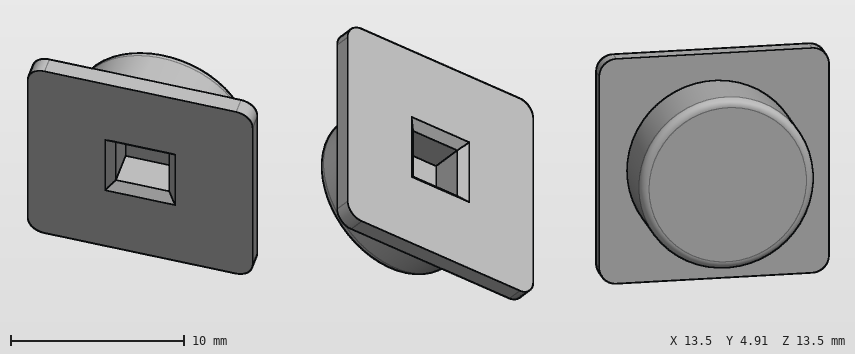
import cadquery as cq

plate_side = 13.5
plate_thickness = 1.0
plate_corner_radius = 1.0

overall_depth = 4.91
boss_diameter = 10.25
boss_height = overall_depth - plate_thickness
boss_edge_radius = 0.5

pocket_side = 3.2
pocket_depth = 2.5
mouth_chamfer = 0.5


def plane_at(depth):
    """XZ plane at the given Y, with its normal pointing along +Y."""
    return cq.Plane(origin=(0, depth, 0), xDir=(1, 0, 0), normal=(0, 1, 0))


def make_plate():
    plate = cq.Workplane(plane_at(0)).rect(plate_side, plate_side).extrude(plate_thickness)
    return plate.edges("|Y").fillet(plate_corner_radius)


def make_boss():
    boss = cq.Workplane(plane_at(plate_thickness)).circle(boss_diameter / 2).extrude(boss_height)
    return boss.faces(">Y").edges().fillet(boss_edge_radius)


def make_pocket():
    mouth_side = pocket_side + 2 * mouth_chamfer
    shaft = cq.Workplane(plane_at(0)).rect(pocket_side, pocket_side).extrude(pocket_depth)
    mouth = (
        cq.Workplane(plane_at(0))
        .rect(mouth_side, mouth_side)
        .workplane(offset=mouth_chamfer)
        .rect(pocket_side, pocket_side)
        .loft(ruled=True)
    )
    return shaft.union(mouth)


result = make_plate().union(make_boss()).cut(make_pocket())